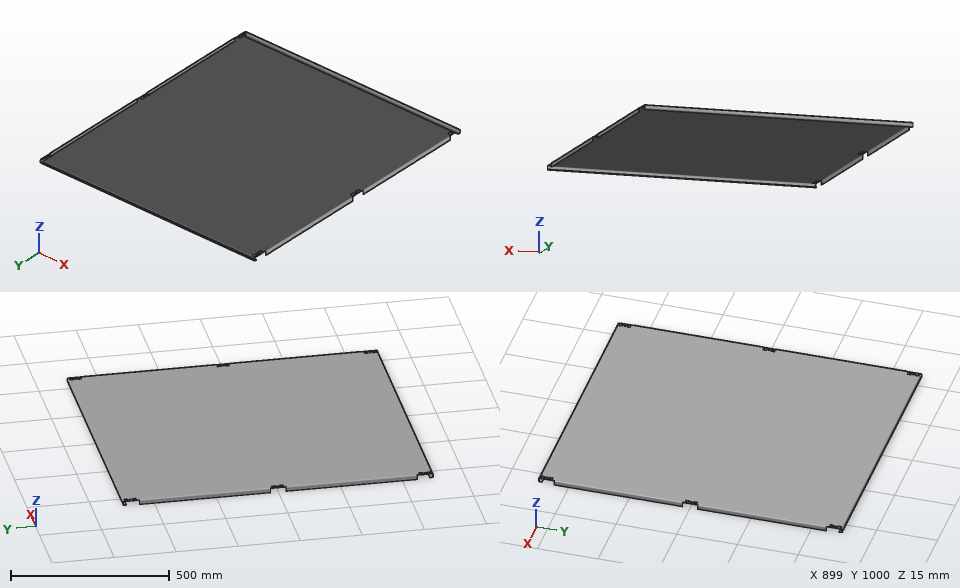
import cadquery as cq

WIDTH = 899.0
LENGTH = 1000.0
HEIGHT = 15.0

THICKNESS = 2.0
OUTER_BEND_RADIUS = 4.0
INNER_BEND_RADIUS = OUTER_BEND_RADIUS - THICKNESS

LIP_DEPTH = 11.0
FLANGE_GAP = 50.0
END_CLEARANCE = 52.0
SIDE_FLANGE_LENGTH = LENGTH / 2 - END_CLEARANCE - FLANGE_GAP / 2

FLAT_HALF_WIDTH = WIDTH / 2 - OUTER_BEND_RADIUS

WINDOW_WIDTH = 10.0
WINDOW_LENGTH = 11.0
ROUND_HOLE_DIAMETER = 6.0
HOLE_SPACING = 13.0
HOLE_EDGE_DISTANCE = 8.0
HOLE_ROW_X = FLAT_HALF_WIDTH - HOLE_EDGE_DISTANCE
GROUP_END_DISTANCE = 25.0
GROUP_SPACING = LENGTH / 2 - GROUP_END_DISTANCE


def rounded_bar(length, height, radius):
    """Bar along X over the flat width, with its four long edges rounded."""
    bar = cq.Workplane("YZ").rect(length, height).extrude(FLAT_HALF_WIDTH, both=True)
    return bar.edges("|X").fillet(radius)


def channel_sheet():
    """Flat sheet bent down and back under along both Y ends."""
    outside = rounded_bar(LENGTH, HEIGHT, OUTER_BEND_RADIUS)
    inside = rounded_bar(LENGTH - 2 * THICKNESS, HEIGHT - 2 * THICKNESS, INNER_BEND_RADIUS)
    opening = (
        cq.Workplane("XY", origin=(0, 0, -HEIGHT / 2))
        .rect(WIDTH, LENGTH - 2 * LIP_DEPTH)
        .extrude(HEIGHT - THICKNESS)
    )
    return outside.cut(inside).cut(opening)


def side_flange(y_start):
    """Plain flange bent down from the +X side of the sheet, running from y_start toward +Y."""
    top = HEIGHT / 2
    bottom = -HEIGHT / 2
    outer_x = WIDTH / 2
    inner_x = outer_x - THICKNESS
    bend_z = top - OUTER_BEND_RADIUS

    def bend_middle(radius):
        offset = radius * 0.5 ** 0.5
        return (FLAT_HALF_WIDTH + offset, bend_z + offset)

    return (
        cq.Workplane("XZ", origin=(0, y_start, 0))
        .moveTo(FLAT_HALF_WIDTH, top)
        .threePointArc(bend_middle(OUTER_BEND_RADIUS), (outer_x, bend_z))
        .lineTo(outer_x, bottom)
        .lineTo(inner_x, bottom)
        .lineTo(inner_x, bend_z)
        .threePointArc(bend_middle(INNER_BEND_RADIUS), (FLAT_HALF_WIDTH, top - THICKNESS))
        .close()
        .extrude(-SIDE_FLANGE_LENGTH)
    )


def hole_group(x, y):
    """Cutter for one group of three holes through the flat sheet."""
    sheet_bottom = cq.Workplane("XY", origin=(x, y, HEIGHT / 2 - THICKNESS))
    windows = (
        sheet_bottom.pushPoints([(0, -HOLE_SPACING), (0, HOLE_SPACING)])
        .rect(WINDOW_WIDTH, WINDOW_LENGTH)
        .extrude(THICKNESS)
    )
    round_hole = sheet_bottom.circle(ROUND_HOLE_DIAMETER / 2).extrude(THICKNESS)
    return windows.union(round_hole)


result = channel_sheet()

for y_start in (FLANGE_GAP / 2, -FLANGE_GAP / 2 - SIDE_FLANGE_LENGTH):
    flange = side_flange(y_start)
    result = result.union(flange).union(flange.mirror("YZ"))

for row_x in (-HOLE_ROW_X, HOLE_ROW_X):
    for group_y in (-GROUP_SPACING, 0, GROUP_SPACING):
        result = result.cut(hole_group(row_x, group_y))